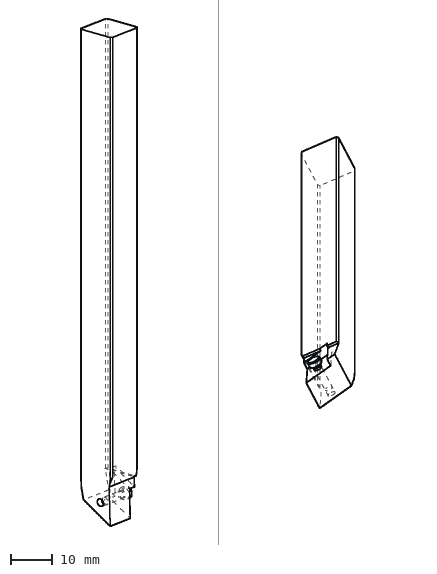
import cadquery as cq
import math

length = 124.5
width = 10.0
half = width / 2
edge_chamfer = 0.44

tip_x = 4.6
lead_angle = math.radians(30)
side_angle = math.radians(2)
heel_x = -3.9
heel_top_z = 10.1
flank_top_z = 10.0
neck_top_z = 12.5

flat_y = 4.4
flat_top_z = 10.1
seat_y = 2.5
seat_width = 6.3

screw_x = 1.5
screw_z = 5.4
shank_radius = 0.93
head_radius = 1.6
head_top_y = 5.1
head_rim_y = 4.9
head_rim_chamfer = head_top_y - head_rim_y
cone_top_y = 3.7
screw_end_y = -3.7
end_chamfer = 0.4


def prism_along_y(points, y_start, y_end):
    """Extrude an (x, z) outline between two Y positions."""
    plane = cq.Workplane("XZ", origin=(0, y_start, 0))
    return plane.polyline(points).close().extrude(y_start - y_end)


def head_outline_cut(bar):
    """Trim the lower end of the bar to the outline of the cutting head."""
    outline = [
        (tip_x, 0),
        (tip_x - flank_top_z * math.tan(side_angle), flank_top_z),
        (half, neck_top_z),
        (half, length),
        (-half, length),
        (-half, heel_top_z),
        (heel_x, (tip_x - heel_x) * math.tan(lead_angle)),
    ]
    return bar.intersect(prism_along_y(outline, -half, half))


def flat_cutter():
    """Block that lowers the +Y side of the whole head."""
    depth = half - flat_y
    block = cq.Workplane("XY").box(width, depth, flat_top_z, centered=(True, False, False))
    return block.translate((0, flat_y, 0))


def seat_cutter():
    """Rhombic insert pocket, open along the lower-left face and right flank."""
    side = seat_width / math.cos(lead_angle + side_angle)
    lead = (-side * math.cos(lead_angle), side * math.sin(lead_angle))
    flank = (-side * math.sin(side_angle), side * math.cos(side_angle))
    rhombus = [
        (tip_x, 0),
        (tip_x + lead[0], lead[1]),
        (tip_x + lead[0] + flank[0], lead[1] + flank[1]),
        (tip_x + flank[0], flank[1]),
    ]
    return prism_along_y(rhombus, seat_y, half)


def screw_hole():
    """Hole for the screw through the full depth of the head."""
    plane = cq.Workplane("XZ", origin=(screw_x, half, screw_z))
    return plane.circle(shank_radius).extrude(width)


def make_holder():
    bar = cq.Workplane("XY").rect(width, width).extrude(length)
    bar = bar.edges("|Z").chamfer(edge_chamfer)
    return head_outline_cut(bar).cut(flat_cutter()).cut(seat_cutter()).cut(screw_hole())


def make_screw():
    """Countersunk screw, revolved about its Y axis from a (radius, y) profile."""
    profile = [
        (0, screw_end_y),
        (shank_radius - end_chamfer, screw_end_y),
        (shank_radius, screw_end_y + end_chamfer),
        (shank_radius, cone_top_y - (head_radius - shank_radius)),
        (head_radius, cone_top_y),
        (head_radius, head_rim_y),
        (head_radius - head_rim_chamfer, head_top_y),
        (0, head_top_y),
    ]
    plane = cq.Workplane("XY", origin=(screw_x, 0, screw_z))
    return plane.polyline(profile).close().revolve(360, (0, 0, 0), (0, 1, 0))


holder = make_holder()
screw = make_screw()
result = cq.Compound.makeCompound([holder.val(), screw.val()])